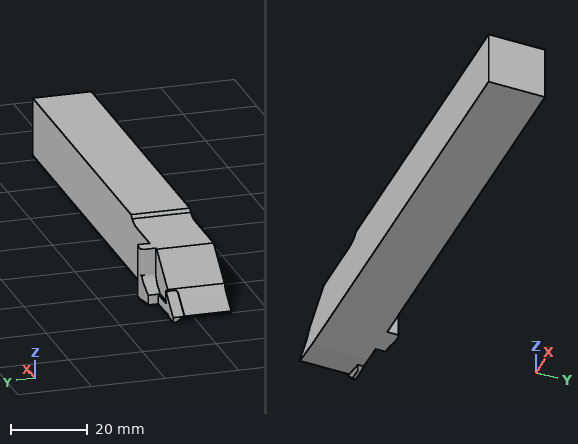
import cadquery as cq
import math

length = 125.0
shank = 16.0
head_height = 14.1
nose_x = 0.5
nose_top = 1.0
relief_height = 0.5
relief_end_x = 8.8

slope_top_x = 16.2
seat_end_x, seat_end_z = 4.8, 4.2
shoulder_x, shoulder_z = 6.5, 6.5
hollow_sag = 0.19

rise_start_x = 32.8
rise_end_x, rise_end_z = 36.5, 15.1
shank_start_x = 37.4

lug_reach = 3.5
lug_front_x = 13.2
lug_wall_x = 17.1
lug_back_x = 20.9
lug_corner = 0.9
toe_height = 2.8
toe_end_x, toe_end_z = 15.9, 4.6
wall_foot_z = 6.9
toe_setback = 0.8
toe_bend_setback = 0.5
side_step = 0.5

insert_width = 3.1
insert_drop = 0.2
insert_top = 1.1
insert_back_x, insert_back_z = 6.5, 6.2
insert_foot_x = 3.6
insert_edge = 1.0
insert_chamfer_height = 1.2
insert_corner = 0.6


def prism(profile, y_start, y_end):
    """Extrude an XZ profile between two Y positions."""
    return profile.close().extrude(y_start - y_end).translate((0, y_start, 0))


def sagged_midpoint(start, end, sag):
    """Middle of an arc bulging towards the lower right of its chord."""
    dx = end[0] - start[0]
    dz = end[1] - start[1]
    chord = math.hypot(dx, dz)
    return (
        (start[0] + end[0]) / 2 + sag * dz / chord,
        (start[1] + end[1]) / 2 - sag * dx / chord,
    )


def make_body():
    seat_end = (seat_end_x, seat_end_z)
    shoulder = (shoulder_x, shoulder_z)
    hollow = sagged_midpoint(seat_end, shoulder, hollow_sag)
    profile = (
        cq.Workplane("XZ")
        .moveTo(relief_end_x, 0)
        .lineTo(nose_x, relief_height)
        .lineTo(nose_x, nose_top)
        .lineTo(*seat_end)
        .threePointArc(hollow, shoulder)
        .lineTo(slope_top_x, head_height)
        .lineTo(rise_start_x, head_height)
        .tangentArcPoint((rise_end_x, rise_end_z), relative=False)
        .lineTo(shank_start_x, shank)
        .lineTo(length, shank)
        .lineTo(length, 0)
    )
    return prism(profile, 0, shank)


def make_front_clearance():
    """Space in front of the lug, above its sloping toe."""
    toe_end = (toe_end_x, toe_end_z)
    wall_foot = (lug_wall_x, wall_foot_z)
    hollow = sagged_midpoint(toe_end, wall_foot, hollow_sag)
    profile = (
        cq.Workplane("XZ")
        .moveTo(0, toe_height)
        .lineTo(lug_front_x, toe_height)
        .lineTo(*toe_end)
        .threePointArc(hollow, wall_foot)
        .lineTo(lug_wall_x, shank)
        .lineTo(0, shank)
    )
    return prism(profile, shank - side_step, shank + lug_reach)


def make_lug():
    inner_y = shank - side_step
    outer_y = shank + lug_reach
    block = (
        cq.Workplane("XY")
        .moveTo(lug_wall_x, inner_y)
        .lineTo(lug_back_x, inner_y)
        .lineTo(lug_back_x, outer_y)
        .lineTo(lug_wall_x, outer_y)
        .close()
        .extrude(head_height)
        .edges("|Z and >Y")
        .fillet(lug_corner)
    )
    toe = (
        cq.Workplane("XY")
        .moveTo(lug_front_x, inner_y)
        .lineTo(lug_wall_x + lug_corner, inner_y)
        .lineTo(lug_wall_x + lug_corner, outer_y)
        .lineTo(toe_end_x, outer_y - toe_bend_setback)
        .lineTo(lug_front_x, outer_y - toe_setback)
        .close()
        .extrude(wall_foot_z)
    )
    return block.union(toe)


def make_insert():
    """Insert side profile trimmed to its chamfered front outline."""
    side = (
        cq.Workplane("XZ")
        .moveTo(0, -insert_drop)
        .lineTo(0, insert_top)
        .lineTo(insert_back_x, insert_back_z)
        .lineTo(insert_back_x, relief_height)
        .lineTo(insert_foot_x, -insert_drop)
    )
    inner_y = shank - insert_width
    front = (
        cq.Workplane("YZ")
        .moveTo(shank, -insert_drop)
        .lineTo(shank - insert_edge, -insert_drop)
        .lineTo(inner_y, insert_chamfer_height)
        .lineTo(inner_y, insert_back_z - insert_corner)
        .lineTo(inner_y + insert_corner, insert_back_z)
        .lineTo(shank, insert_back_z)
        .close()
        .extrude(insert_back_x)
    )
    return prism(side, inner_y, shank).intersect(front)


holder = make_body().union(make_lug()).cut(make_front_clearance())
result = holder.union(make_insert())